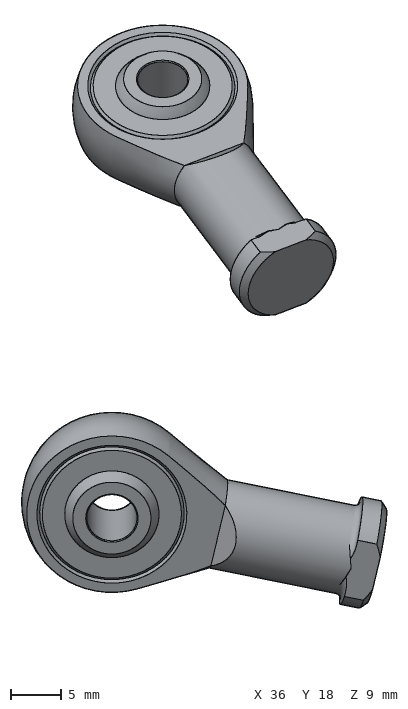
import cadquery as cq
import math

eye_radius = 9.0
eye_thickness = 6.0
eye_half = eye_thickness / 2

ball_radius = 5.57
ball_height = 8.0
bore_diameter = 5.0
bore_chamfer = 0.1

groove_radius = 7.2
groove_half_width = 0.27
groove_depth = 0.25

shank_radius = 4.5
shank_start = 10.82
bevel_end = 12.6
rod_end = 26.97

collar_radius = 5.45
collar_start = 24.38
collar_chamfer = 0.65
across_flats = 2 * shank_radius
fillet_radius = 0.65
fillet_start = collar_start - fillet_radius


def revolve_about_x(profile):
    return profile.close().revolve(360, (0, 0, 0), (1, 0, 0))


def make_eye_and_neck():
    """Sphere and tangent neck cone, thinned to the eye faces and bevelled up to the shank."""
    corner_distance = math.hypot(shank_start, shank_radius)
    corner_angle = math.atan2(shank_radius, shank_start)
    tangent_angle = corner_angle + math.acos(eye_radius / corner_distance)
    tangent_point = (eye_radius * math.cos(tangent_angle), eye_radius * math.sin(tangent_angle))
    body = revolve_about_x(
        cq.Workplane("XY")
        .moveTo(-eye_radius, 0)
        .threePointArc((0, eye_radius), tangent_point)
        .lineTo(shank_start, shank_radius)
        .lineTo(collar_start, shank_radius)
        .lineTo(collar_start, 0)
    )
    side_outline = (
        cq.Workplane("XZ")
        .polyline([
            (-eye_radius, -eye_half),
            (shank_start, -eye_half),
            (bevel_end, -shank_radius),
            (collar_start, -shank_radius),
            (collar_start, shank_radius),
            (bevel_end, shank_radius),
            (shank_start, eye_half),
            (-eye_radius, eye_half),
        ])
        .close()
        .extrude(eye_radius, both=True)
    )
    return body.intersect(side_outline)


def trim_to_flats(body):
    """Cut two flats, level with the top and bottom of the shank."""
    length = rod_end - fillet_start
    slab = cq.Workplane("XY").box(length, 2 * collar_radius, across_flats)
    return body.intersect(slab.translate((fillet_start + length / 2, 0, 0)))


def make_collar():
    """Round collar with a chamfered end face and two flats."""
    collar = (
        cq.Workplane("YZ", origin=(collar_start, 0, 0))
        .circle(collar_radius)
        .extrude(rod_end - collar_start)
        .faces(">X")
        .chamfer(collar_chamfer)
    )
    return trim_to_flats(collar)


def make_collar_fillet():
    """Concave fillet against the collar, tapering to nothing at the middle of each flat."""
    rim_radius = shank_radius + fillet_radius
    mid_offset = fillet_radius * math.sin(math.radians(45))
    ring = revolve_about_x(
        cq.Workplane("XY")
        .moveTo(fillet_start, 0)
        .lineTo(fillet_start, shank_radius)
        .threePointArc((fillet_start + mid_offset, rim_radius - mid_offset), (collar_start, rim_radius))
        .lineTo(collar_start, 0)
    )
    taper_half_width = shank_radius * math.sin(math.acos(shank_radius / rim_radius))
    taper = (
        cq.Workplane("XY")
        .polyline([
            (fillet_start, -taper_half_width),
            (collar_start, 0),
            (fillet_start, taper_half_width),
        ])
        .close()
        .extrude(collar_radius, both=True)
    )
    return trim_to_flats(ring).cut(taper)


def make_face_grooves():
    """V-shaped ring grooves in both faces of the eye."""
    upper = (
        cq.Workplane("XZ")
        .polyline([
            (groove_radius - groove_half_width, eye_half),
            (groove_radius, eye_half - groove_depth),
            (groove_radius + groove_half_width, eye_half),
        ])
        .close()
        .revolve(360, (0, 0, 0), (0, 1, 0))
    )
    return upper.union(upper.mirror("XY"))


def make_housing():
    housing = make_eye_and_neck().union(make_collar_fillet()).union(make_collar())
    ball_seat = cq.Workplane("XY").sphere(ball_radius)
    return housing.cut(ball_seat).cut(make_face_grooves())


def make_ball():
    """Sphere with flat ends and a chamfered through bore."""
    blank = cq.Workplane("XY").circle(ball_radius).extrude(ball_height / 2, both=True)
    bored = blank.faces(">Z").workplane().hole(bore_diameter)
    bored = bored.edges(cq.selectors.RadiusNthSelector(0)).chamfer(bore_chamfer)
    return bored.intersect(cq.Workplane("XY").sphere(ball_radius))


housing = make_housing()
ball = make_ball()
result = cq.Compound.makeCompound([housing.solids().val(), ball.solids().val()])